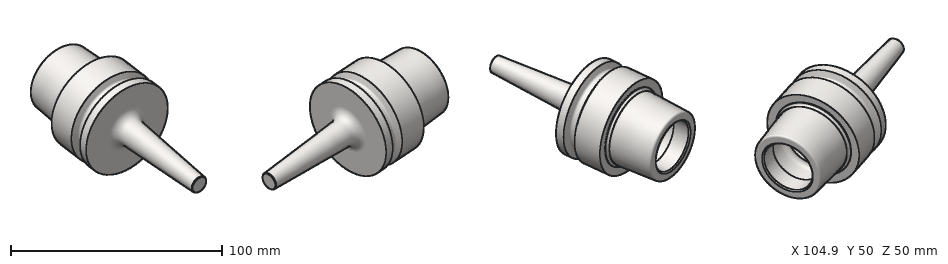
import cadquery as cq
import math

overall_length = 104.9

shank_cone_end = 22.8
shank_radius = 19.2
shank_slope = 1 / 20
shank_end_round = 1.0
shank_land_end = 23.4
neck_start = 23.7
neck_radius = 18.9

flange_start = 24.8
recess_depth = 0.5
recess_radius = 20.5
recess_fillet = 0.8
recess_floor = flange_start + recess_depth

flange_radius = 25.02
flange_end = 50.7
groove_start = 39.7
groove_width = 6.5
groove_bottom_radius = 21.4
groove_bottom_width = 3.5
groove_fillet = 1.0

stem_fillet = 5.0
stem_half_angle = math.radians(3)
stem_tip_radius = 4.5
tip_chamfer = 0.3
stem_cone_end = overall_length - tip_chamfer
stem_fillet_center = flange_end + stem_fillet
stem_start = stem_fillet_center - stem_fillet * math.sin(stem_half_angle)
stem_base_radius = stem_tip_radius + (stem_cone_end - stem_start) * math.tan(stem_half_angle)

mouth_radius = 13.8
mouth_chamfer = 0.7
bore_radius = mouth_radius - mouth_chamfer
undercut_start = 9.4
undercut_radius = 15.9
undercut_fillet = undercut_radius - bore_radius
undercut_fillet_start = 19.6
undercut_end = undercut_fillet_start + undercut_fillet
bore_floor_fillet = 1.3
bore_floor_depth = 2.1
bore_floor = undercut_end + bore_floor_depth

hole_mouth_radius = 8.5
hole_mouth_chamfer = 0.4
hole_radius = hole_mouth_radius - hole_mouth_chamfer
hole_floor_radius = 6.9
hole_depth = 10.5
hole_floor = bore_floor + hole_depth
hole_cone_start = hole_floor - (hole_radius - hole_floor_radius)


def revolve_about_x(profile):
    return profile.close().revolve(360, (0, 0, 0), (1, 0, 0))


def arc_middle(center_x, center_r, radius, x_side, r_side):
    """Point at 45 degrees on an arc, on the given sides of its centre."""
    offset = radius * math.sqrt(0.5)
    return (center_x + x_side * offset, center_r + r_side * offset)


def make_body():
    """Solid of revolution: shank, neck, flange and tapered stem."""
    shank_front_radius = shank_radius - shank_slope * (shank_cone_end - shank_end_round)
    end_face_radius = shank_front_radius - shank_end_round
    fillet_rim = neck_radius + recess_fillet
    fillet_base = recess_floor - recess_fillet
    stem_fillet_rim = stem_base_radius + stem_fillet * math.cos(stem_half_angle)
    profile = (
        cq.Workplane("XY")
        .moveTo(0, 0)
        .lineTo(0, end_face_radius)
        .threePointArc(
            arc_middle(shank_end_round, end_face_radius, shank_end_round, -1, 1),
            (shank_end_round, shank_front_radius),
        )
        .lineTo(shank_cone_end, shank_radius)
        .lineTo(shank_land_end, shank_radius)
        .lineTo(neck_start, neck_radius)
        .lineTo(fillet_base, neck_radius)
        .threePointArc(
            arc_middle(fillet_base, fillet_rim, recess_fillet, 1, -1),
            (recess_floor, fillet_rim),
        )
        .lineTo(recess_floor, recess_radius)
        .lineTo(flange_start, recess_radius)
        .lineTo(flange_start, flange_radius)
        .lineTo(flange_end, flange_radius)
        .lineTo(flange_end, stem_fillet_rim)
        .threePointArc(
            arc_middle(stem_fillet_center, stem_fillet_rim, stem_fillet, -1, -1),
            (stem_start, stem_base_radius),
        )
        .lineTo(stem_cone_end, stem_tip_radius)
        .lineTo(overall_length, stem_tip_radius - tip_chamfer)
        .lineTo(overall_length, 0)
    )
    return revolve_about_x(profile)


def make_flange_groove():
    """Ring that cuts the V groove, with both bottom corners rounded."""
    bottom_start = groove_start + (groove_width - groove_bottom_width) / 2
    ring = revolve_about_x(
        cq.Workplane("XY")
        .moveTo(groove_start, flange_radius)
        .lineTo(bottom_start, groove_bottom_radius)
        .lineTo(bottom_start + groove_bottom_width, groove_bottom_radius)
        .lineTo(groove_start + groove_width, flange_radius)
    )
    groove_middle = groove_start + groove_width / 2
    reach = groove_bottom_radius + groove_fillet / 2
    bottom_edges = cq.selectors.BoxSelector(
        (groove_middle - groove_width, -reach, -reach),
        (groove_middle + groove_width, reach, reach),
        boundingbox=True,
    )
    return ring.edges("%CIRCLE").edges(bottom_edges).fillet(groove_fillet)


def make_bore():
    """Chamfered bore with a wider rounded chamber, a rounded floor and a blind hole."""
    floor_fillet_start = bore_floor - bore_floor_fillet
    floor_rim = bore_radius - bore_floor_fillet
    profile = (
        cq.Workplane("XY")
        .moveTo(0, 0)
        .lineTo(0, mouth_radius)
        .lineTo(mouth_chamfer, bore_radius)
        .lineTo(undercut_start, bore_radius)
        .lineTo(undercut_start, undercut_radius)
        .lineTo(undercut_fillet_start, undercut_radius)
        .threePointArc(
            arc_middle(undercut_fillet_start, bore_radius, undercut_fillet, 1, 1),
            (undercut_end, bore_radius),
        )
        .lineTo(floor_fillet_start, bore_radius)
        .threePointArc(
            arc_middle(floor_fillet_start, floor_rim, bore_floor_fillet, 1, 1),
            (bore_floor, floor_rim),
        )
        .lineTo(bore_floor, hole_mouth_radius)
        .lineTo(bore_floor + hole_mouth_chamfer, hole_radius)
        .lineTo(hole_cone_start, hole_radius)
        .lineTo(hole_floor, hole_floor_radius)
        .lineTo(hole_floor, 0)
    )
    return revolve_about_x(profile)


result = make_body().cut(make_flange_groove()).cut(make_bore())